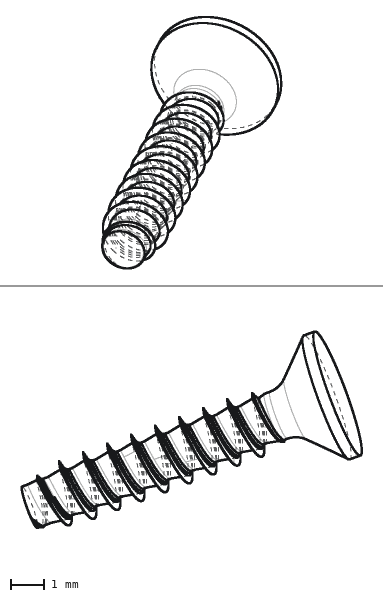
import cadquery as cq
import math


LENGTH = 10.0

HEAD_RADIUS = 2.0
HEAD_RIM = 0.35
COUNTERSINK_SLOPE = 45.0
SHANK_RADIUS = 0.76
NECK_FILLET = 0.78
SHANK_END = 2.09
CORE_START = 2.38

CORE_RADIUS = 0.67
DIMPLE_RADIUS = 0.63
DIMPLE_DEPTH = 0.07

PITCH = 0.78
START_POSITION = 1.94
START_ANGLE = 150.0
THREAD_LIMIT = SHANK_END - 0.05
STRETCH_TURNS = 1.1
FULL_STRETCHES = 7
RUN_OUT_TURNS = 1.6
CREST_RADIUS = 1.0
START_CREST_RADIUS = 0.78
FADED_RADIUS = 0.65
BURIED_RADIUS = 0.6

BACK_FLANK = [(-0.21, 0.66), (-0.11, 0.71), (-0.065, 0.77)]
CREST = [(-0.005, CREST_RADIUS), (0.005, CREST_RADIUS)]
FRONT_FLANK = [(0.055, 0.75), (0.53, 0.66)]


def turned_body():
    """Head, neck, shank and core as one turned profile."""
    slope = math.radians(COUNTERSINK_SLOPE)
    half_turn = slope / 2
    countersink_end = HEAD_RIM + (HEAD_RADIUS - SHANK_RADIUS) / math.tan(slope)
    tangent = NECK_FILLET * math.tan(half_turn)
    fillet_end = countersink_end + tangent
    fillet_start = (
        SHANK_RADIUS + tangent * math.sin(slope),
        countersink_end - tangent * math.cos(slope),
    )
    fillet_middle = (
        SHANK_RADIUS + NECK_FILLET * (1 - math.cos(half_turn)),
        fillet_end - NECK_FILLET * math.sin(half_turn),
    )
    return (
        cq.Workplane("YZ")
        .lineTo(HEAD_RADIUS, 0)
        .lineTo(HEAD_RADIUS, HEAD_RIM)
        .lineTo(*fillet_start)
        .threePointArc(fillet_middle, (SHANK_RADIUS, fillet_end))
        .lineTo(SHANK_RADIUS, SHANK_END)
        .lineTo(CORE_RADIUS, CORE_START)
        .lineTo(CORE_RADIUS, LENGTH)
        .lineTo(0, LENGTH)
        .close()
        .revolve(360, (0, 0), (0, 1))
    )


def thread_line(offset, start_radius, end_radius, first_turn, turns):
    """Helix on a cylinder or cone, for a stretch of the thread that begins after first_turn turns."""
    height = turns * PITCH
    if start_radius == end_radius:
        line = cq.Wire.makeHelix(PITCH, height, start_radius)
    else:
        slope = math.atan2(end_radius - start_radius, height)
        slant = 1 / math.cos(slope)
        line = cq.Wire.makeHelix(PITCH * slant, height * slant, start_radius, angle=math.degrees(slope))
    start_z = START_POSITION + offset + first_turn * PITCH
    turned = line.rotate(cq.Vector(0, 0, 0), cq.Vector(0, 0, 1), START_ANGLE + 360 * first_turn)
    return turned.translate(cq.Vector(0, 0, start_z))


def thread_stretch(start_section, end_section, first_turn, turns):
    """Faces of one stretch of thread whose section changes evenly, its two end caps coming last."""
    lines = [
        thread_line(offset, start_radius, end_radius, first_turn, turns)
        for (offset, start_radius), (_, end_radius) in zip(start_section, end_section)
    ]
    next_lines = lines[1:] + lines[:1]
    faces = [cq.Face.makeRuledSurface(a, b) for a, b in zip(lines, next_lines)]
    for end in (0, 1):
        corners = [line.positionAt(end) for line in lines]
        faces.append(cq.Face.makeFromWires(cq.Wire.makePolygon(corners, close=True)))
    return faces


def thread():
    """Thread that rises out of the shank, runs at full height and fades into the tip."""
    outer = BACK_FLANK + CREST + FRONT_FLANK
    buried = [(outer[-1][0], BURIED_RADIUS), (outer[0][0], BURIED_RADIUS)]
    low_crest = [(offset, START_CREST_RADIUS) for offset, _ in CREST]
    start = BACK_FLANK + low_crest + FRONT_FLANK + buried
    full = outer + buried
    faded = [(offset, FADED_RADIUS) for offset, _ in outer] + buried
    faces = thread_stretch(start, full, 0, STRETCH_TURNS)[:-1]
    for index in range(1, FULL_STRETCHES + 1):
        faces += thread_stretch(full, full, index * STRETCH_TURNS, STRETCH_TURNS)[:-2]
    run_out = thread_stretch(full, faded, (FULL_STRETCHES + 1) * STRETCH_TURNS, RUN_OUT_TURNS)
    faces += run_out[:-2] + run_out[-1:]
    return cq.Workplane(cq.Solid.makeSolid(cq.Shell.makeShell(faces)))


def tip_dimple():
    """Cone that hollows the tip face."""
    tip_centre = cq.Vector(0, 0, LENGTH)
    inwards = cq.Vector(0, 0, -1)
    return cq.Workplane(cq.Solid.makeCone(DIMPLE_RADIUS, 0, DIMPLE_DEPTH, tip_centre, inwards))


def thread_space():
    """Cylinder between the shank and the tip face, to which the thread is trimmed."""
    return cq.Workplane("XY", origin=(0, 0, THREAD_LIMIT)).circle(HEAD_RADIUS).extrude(LENGTH - THREAD_LIMIT)


screw = turned_body().union(thread().intersect(thread_space())).cut(tip_dimple())
result = screw.solids().rotate((0, 0, 0), (1, 0, 0), 90)